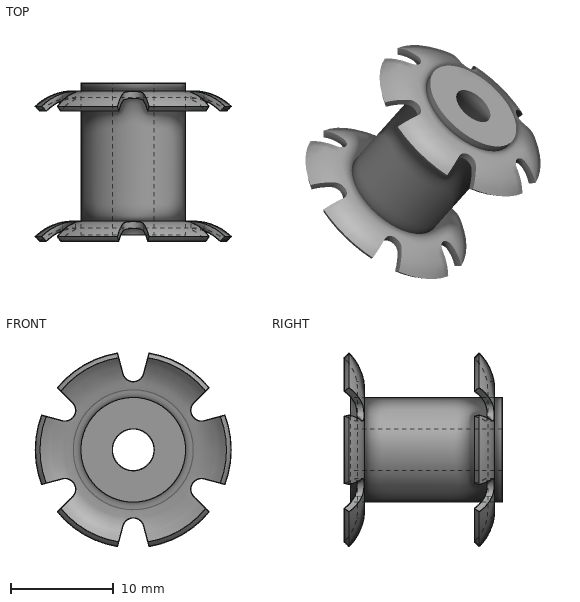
import cadquery as cq
import math

hub_radius = 5.09
hub_length = 14.76
bore_radius = 2.02

flange_setback = 0.75
flange_spacing = 12.65
flange_radius = 9.52
flange_thickness = 0.67
flat_radius = 5.83
curl_depth = 1.5

notch_count = 6
notch_root_distance = 6.63
notch_root_radius = 1.03
notch_flank_angle = math.radians(15)

curl_width = flange_radius - flat_radius
curl_angle = 2 * math.atan(curl_depth / curl_width)
outer_curl_radius = curl_width / math.sin(curl_angle)
inner_curl_radius = outer_curl_radius - flange_thickness


def curl_point(radius, angle):
    """Point (distance from axis, Y from the rear face) on a curl arc."""
    return (flat_radius + radius * math.sin(angle), radius * math.cos(angle) - outer_curl_radius)


def make_hub():
    return (
        cq.Workplane("XZ")
        .circle(hub_radius)
        .circle(bore_radius)
        .extrude(hub_length)
    )


def make_flange_blank():
    """Revolved flange without notches, rear face at Y = 0."""
    return (
        cq.Workplane("XY")
        .moveTo(hub_radius, 0)
        .lineTo(flat_radius, 0)
        .threePointArc(
            curl_point(outer_curl_radius, curl_angle / 2),
            curl_point(outer_curl_radius, curl_angle),
        )
        .lineTo(*curl_point(inner_curl_radius, curl_angle))
        .threePointArc(
            curl_point(inner_curl_radius, curl_angle / 2),
            (flat_radius, -flange_thickness),
        )
        .lineTo(hub_radius, -flange_thickness)
        .close()
        .revolve(360, (0, 0, 0), (0, 1, 0))
    )


def make_notch_cutter():
    """Notch along +Z with a round root and flanks that open outward."""
    root_center = notch_root_distance + notch_root_radius
    tangent_x = notch_root_radius * math.cos(notch_flank_angle)
    tangent_z = root_center - notch_root_radius * math.sin(notch_flank_angle)
    mouth_z = 1.1 * flange_radius
    mouth_x = tangent_x + (mouth_z - tangent_z) * math.tan(notch_flank_angle)
    return (
        cq.Workplane("XZ")
        .moveTo(-mouth_x, mouth_z)
        .lineTo(-tangent_x, tangent_z)
        .threePointArc((0, notch_root_distance), (tangent_x, tangent_z))
        .lineTo(mouth_x, mouth_z)
        .close()
        .extrude(flange_radius, both=True)
    )


def make_flange(rear_face_y):
    flange = make_flange_blank()
    cutter = make_notch_cutter()
    for index in range(notch_count):
        angle = index * 360 / notch_count
        flange = flange.cut(cutter.rotate((0, 0, 0), (0, 1, 0), angle))
    return flange.translate((0, rear_face_y, 0))


hub = make_hub()

flanges = []
for rear_face_y in (-flange_setback, -flange_setback - flange_spacing):
    flanges.append(make_flange(rear_face_y).solids().val())

result = cq.Compound.makeCompound([hub.val(), *flanges])